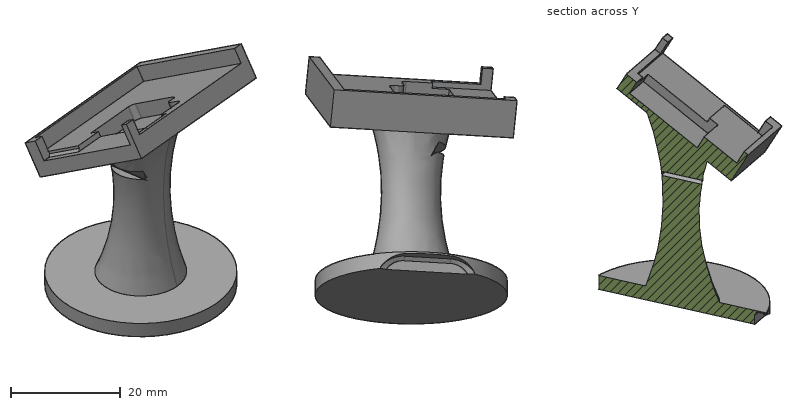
import cadquery as cq
import math

foot_diameter = 35.0
foot_radius = foot_diameter / 2
foot_thickness = 2.9

recess_wall_x = -14.75
recess_bevel_length = 0.48
recess_top_half_width = 4.3
recess_mouth_height = 2.55
recess_mouth_half_width = 8.9
recess_wall_height = 1.85
recess_wall_half_width = 7.55

total_height = 47.55
tilt = 30
tray_length = 27.0
tray_width = 33.95
tray_thickness = 7.0
tilt_radians = math.radians(tilt)
tray_rise = tray_length * math.sin(tilt_radians) + tray_thickness * math.cos(tilt_radians)
tray_center_z = total_height - tray_rise / 2
tray_top = tray_thickness / 2
tray_end = tray_length / 2
tray_side = tray_width / 2

low_wall = 1.0
side_wall = 2.0
bed_depth = 3.05
bed_floor = tray_top - bed_depth
bed_front = -tray_side + side_wall

opening_depth = 4.05
opening_floor = tray_top - opening_depth
opening_start = -tray_end + 2.7
opening_end = tray_end - 1.3
step_start = -2.9
step_back = -5.85
sill_chamfer = (opening_depth - bed_depth) / 2

pocket_floor = tray_top - 5.95
pocket_start = -4.85
pocket_notch = 7.05
pocket_end = 11.05
pocket_front = -9.0
pocket_shoulder = 0.05
pocket_back = 3.0
pocket_corner_radius = 1.0

column_sections = [
    (0, foot_thickness, 0, 8.35, 8.35),
    (0.1, 10.35, 8, 6.2, 6.33),
    (0.25, 18.65, 19, 5.35, 5.4),
    (0.48, 27.2, 27, 6.0, 6.05),
    (1.1, 34.3, tilt, 7.9, 7.9),
]
column_embed = 0.7

slot_width = 8.25
slot_lip_y = -7.15
slot_lip_z = 26.82
slot_bend_y = -4.15
slot_bend_z = 26.5
slot_root_y = -2.85
slot_root_z = 25.55
slot_top_y = -4.4
slot_top_z = 28.4


def box_between(x_range, y_range, z_range):
    """Box from its lower and upper limit along each axis."""
    sizes = [high - low for low, high in (x_range, y_range, z_range)]
    corner = (x_range[0], y_range[0], z_range[0])
    return cq.Workplane("XY").box(*sizes, centered=False).translate(corner)


def recess_outline(x, height, half_width):
    """Arch in a plane of constant X: flat top, with a tangent arc down to each bottom corner."""
    run = half_width - recess_top_half_width
    radius = (run**2 + height**2) / (2 * height)
    return (
        cq.Workplane("YZ", origin=(x, 0, 0))
        .moveTo(-half_width, 0)
        .radiusArc((-recess_top_half_width, height), radius)
        .lineTo(recess_top_half_width, height)
        .radiusArc((half_width, 0), radius)
        .close()
    )


def make_foot():
    """Disc with an arched recess under its -X rim, bevelled at the recess wall."""
    disc = cq.Workplane("XY").circle(foot_radius).extrude(foot_thickness)
    mouth_x = recess_wall_x - recess_bevel_length
    mouth = recess_outline(mouth_x, recess_mouth_height, recess_mouth_half_width)
    wall = recess_outline(recess_wall_x, recess_wall_height, recess_wall_half_width)
    bevel = cq.Solid.makeLoft([mouth.val(), wall.val()], True)
    return disc.cut(mouth.extrude(-foot_radius)).cut(cq.Workplane(bevel))


def section_plane(x, z, angle):
    """Plane at (x, 0, z) that rises toward +X by the angle in degrees."""
    slope = math.radians(angle)
    along = (math.cos(slope), 0, math.sin(slope))
    normal = (-math.sin(slope), 0, math.cos(slope))
    return cq.Plane(origin=(x, 0, z), xDir=along, normal=normal)


def make_column():
    """Waisted column that gradually leans into the tray."""
    wires = []
    for x, z, angle, slope_radius, y_radius in column_sections:
        section = cq.Workplane(section_plane(x, z, angle)).ellipse(slope_radius, y_radius)
        wires.append(section.val())
    shaft = cq.Workplane(cq.Solid.makeLoft(wires))
    x, z, angle, slope_radius, y_radius = column_sections[-1]
    top = cq.Workplane(section_plane(x, z, angle)).ellipse(slope_radius, y_radius).extrude(column_embed)
    slot = (
        cq.Workplane("YZ")
        .moveTo(slot_lip_y, slot_lip_z)
        .lineTo(slot_bend_y, slot_bend_z)
        .lineTo(slot_root_y, slot_root_z)
        .lineTo(slot_top_y, slot_top_z)
        .lineTo(slot_lip_y, slot_top_z)
        .close()
        .extrude(slot_width / 2, both=True)
    )
    return shaft.union(top).cut(slot)


def make_pocket():
    """Cutter of the deep pocket, rounded at its back corners."""
    outline = [
        (pocket_start, pocket_front),
        (pocket_end, pocket_front),
        (pocket_end, pocket_shoulder),
        (pocket_notch, pocket_shoulder),
        (pocket_notch, pocket_back),
        (pocket_start, pocket_back),
    ]
    return (
        cq.Workplane("XY", origin=(0, 0, pocket_floor))
        .polyline(outline)
        .close()
        .extrude(tray_top - pocket_floor)
        .edges("|Z")
        .edges("not <Y")
        .fillet(pocket_corner_radius)
    )


def make_sill():
    """Ledge under the bed's front edge, chamfered down to the opening's floor."""
    return (
        cq.Workplane("YZ", origin=(opening_start, 0, 0))
        .moveTo(bed_front, opening_floor)
        .lineTo(bed_front - sill_chamfer, opening_floor)
        .lineTo(bed_front, opening_floor + sill_chamfer)
        .close()
        .extrude(step_start - opening_start)
    )


def make_tray():
    """Tray in its local frame, turned and lifted onto the column."""
    body = cq.Workplane("XY").box(tray_length, tray_width, tray_thickness)
    bed = box_between(
        (-tray_end + low_wall, tray_end),
        (bed_front, tray_side - side_wall),
        (bed_floor, tray_top),
    )
    opening = box_between(
        (opening_start, opening_end), (-tray_side, bed_front), (opening_floor, tray_top)
    )
    step = box_between(
        (step_start, opening_end), (bed_front, step_back), (opening_floor, tray_top)
    )
    tray = body.cut(bed).cut(opening).cut(step).union(make_sill()).cut(make_pocket())
    return tray.rotate((0, 0, 0), (0, 1, 0), -tilt).translate((0, 0, tray_center_z))


result = make_foot().union(make_column()).union(make_tray())